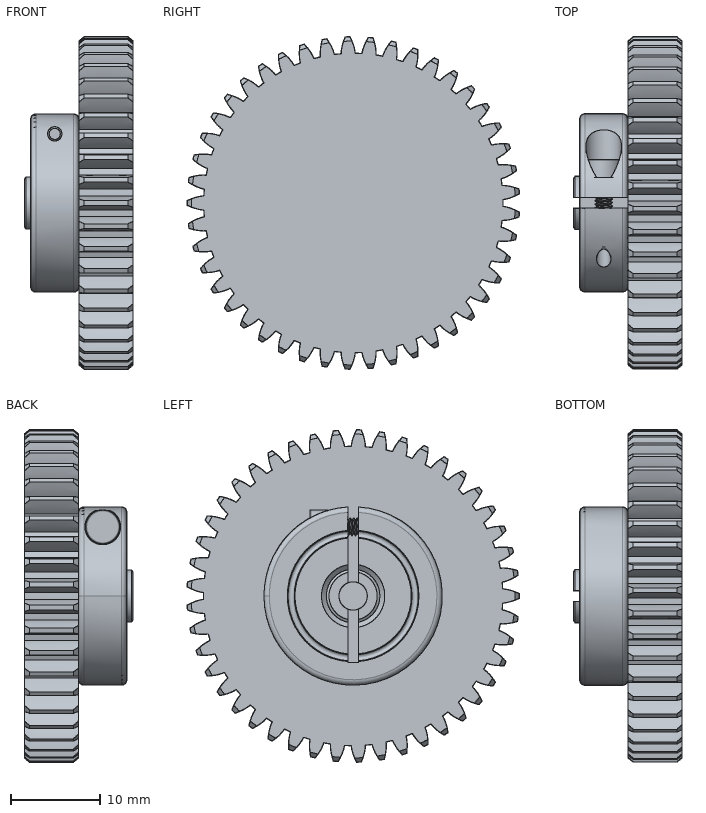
import math

import cadquery as cq


inch = 25.4
tooth_count = 45
module = inch / 32
pressure_angle = math.radians(20)
pitch_radius = module * tooth_count / 2
tip_radius = pitch_radius + module
base_radius = pitch_radius * math.cos(pressure_angle)
root_radius = 16.8
backlash = 0.07
tip_chamfer_height = 0.5
tip_chamfer_length = 0.6
rim_width = 6.1
tooth_step = 2 * math.pi / tooth_count
first_tooth_angle = math.pi
flank_points = 5

collar_radius = 10.0
collar_width = 5.4
collar_fillet = 0.6
nose_radius = 3.0
nose_height = 0.72
nose_chamfer_length = 0.3
nose_chamfer_height = 0.2
recess_radius = 3.55
bore_diameter = inch / 8
bore_depth_in_rim = rim_width / 2

groove_radius = 6.95
groove_width = 0.7
groove_bevel_width = 0.08
groove_bevel_depth = 0.05

slot_width = 1.2
slot_bottom = -7.45

screw_x = -collar_width / 2
screw_z = 7.75
head_radius = 1.9
head_height = 2.0
head_fillet = 0.1
seat_y = 2.85
screw_length = 8.0
thread_radius = 1.0
thread_pitch = 0.4
core_radius = 0.8
screw_tip_radius = 0.62
screw_tip_length = core_radius - screw_tip_radius
shank_length = seat_y - slot_width
thread_root_overlap = 0.05
thread_base_width = 0.9 * thread_pitch
counterbore_radius = 2.0
clearance_radius = 1.1


def involute(angle):
    return math.tan(angle) - angle


def half_tooth_angle(radius):
    """Half the angle that a tooth spans at this radius."""
    half_at_pitch = math.pi / (2 * tooth_count) - backlash / (2 * pitch_radius)
    return half_at_pitch + involute(pressure_angle) - involute(math.acos(base_radius / radius))


def polar(radius, angle):
    return (radius * math.cos(angle), radius * math.sin(angle))


def flank(center_angle, side):
    """Points up one flank of a tooth, from root to tip."""
    rise = (tip_radius - root_radius) / (flank_points - 1)
    radii = [root_radius + rise * i for i in range(flank_points)]
    return [polar(r, center_angle + side * half_tooth_angle(r)) for r in radii]


def make_rim():
    """Toothed rim whose outline follows every flank, tip and root in turn."""
    start = flank(first_tooth_angle, -1)[0]
    outline = cq.Workplane("YZ").moveTo(*start)
    for i in range(tooth_count):
        center = first_tooth_angle + i * tooth_step
        rising = flank(center, -1)
        falling = flank(center, 1)[::-1]
        next_root = flank(center + tooth_step, -1)[0]
        outline = outline.spline(rising[1:], includeCurrent=True)
        outline = outline.threePointArc(polar(tip_radius, center), falling[0])
        outline = outline.spline(falling[1:], includeCurrent=True)
        outline = outline.threePointArc(polar(root_radius, center + tooth_step / 2), next_root)
    rim = outline.close().extrude(rim_width)

    return rim.intersect(make_rim_envelope())


def make_rim_envelope():
    """Disc as wide as the rim, with both edges beveled to chamfer the tooth tips."""
    edge_radius = tip_radius - tip_chamfer_height
    return (
        cq.Workplane("XY")
        .lineTo(0, edge_radius)
        .lineTo(tip_chamfer_length, tip_radius)
        .lineTo(rim_width - tip_chamfer_length, tip_radius)
        .lineTo(rim_width, edge_radius)
        .lineTo(rim_width, 0)
        .close()
        .revolve(360, (0, 0, 0), (1, 0, 0))
    )


def make_collar():
    """Rounded collar with its face recess, ring groove and nose."""
    collar = cq.Workplane("YZ").circle(collar_radius).extrude(-collar_width)
    collar = collar.edges().fillet(collar_fillet)
    nose = (
        cq.Workplane("YZ")
        .circle(nose_radius)
        .extrude(-collar_width - nose_height)
        .faces("<X")
        .chamfer(nose_chamfer_height, nose_chamfer_length)
    )
    return collar.cut(make_recess()).cut(make_groove()).union(nose)


def make_recess():
    """Cone that narrows inward from the collar face to the nose."""
    depth = recess_radius - nose_radius
    return (
        cq.Workplane("XY")
        .moveTo(-collar_width, 0)
        .lineTo(-collar_width, recess_radius)
        .lineTo(-collar_width + depth, nose_radius)
        .lineTo(-collar_width + depth, 0)
        .close()
        .revolve(360, (0, 0, 0), (1, 0, 0))
    )


def make_groove():
    """Ring that is removed from the collar face."""
    inner = groove_radius - groove_width / 2
    outer = groove_radius + groove_width / 2
    bevel_end = -collar_width + groove_bevel_depth
    return (
        cq.Workplane("XY")
        .moveTo(-collar_width, inner - groove_bevel_width)
        .lineTo(bevel_end, inner)
        .threePointArc((bevel_end + groove_width / 2, groove_radius), (bevel_end, outer))
        .lineTo(-collar_width, outer + groove_bevel_width)
        .close()
        .revolve(360, (0, 0, 0), (1, 0, 0))
    )


def make_slot():
    """Slot from the nose end to the rim's face, open at the top of the collar."""
    length = collar_width + nose_height
    height = collar_radius - slot_bottom
    block = cq.Workplane("XY").box(length, slot_width, height, centered=(False, True, False))
    return block.translate((-length, 0, slot_bottom))


def make_bore():
    """Blind bore from the nose end into the rim."""
    nose_end = -collar_width - nose_height
    return (
        cq.Workplane("YZ", origin=(nose_end, 0, 0))
        .circle(bore_diameter / 2)
        .extrude(bore_depth_in_rim - nose_end)
    )


def screw_cylinder(radius, y_start, y_end):
    """Cylinder about the screw's axis."""
    start = cq.Workplane("XZ", origin=(screw_x, y_start, screw_z))
    return start.circle(radius).extrude(y_start - y_end)


def make_thread():
    """Helical ridge from the screw's tip to its plain shank."""
    length = screw_length - shank_length - screw_tip_length - thread_pitch / 2
    root = core_radius - thread_root_overlap
    helix = cq.Wire.makeHelix(thread_pitch, length, root)
    half_base = thread_base_width / 2
    ridge = (
        cq.Workplane("XZ")
        .polyline([(root, -half_base), (thread_radius, 0), (root, half_base)])
        .close()
        .sweep(cq.Workplane(helix), isFrenet=True)
    )
    first_turn_y = seat_y - screw_length + screw_tip_length + thread_pitch / 2
    return ridge.rotate((0, 0, 0), (1, 0, 0), -90).translate((screw_x, first_turn_y, screw_z))


def make_screw():
    """Cap screw: head, plain shank under it and threaded core."""
    head = screw_cylinder(head_radius, seat_y, seat_y + head_height)
    head = head.faces(">Y").edges().fillet(head_fillet)
    shank = screw_cylinder(thread_radius, seat_y - shank_length, seat_y)
    core = screw_cylinder(core_radius, seat_y - screw_length, seat_y)
    core = core.faces("<Y").chamfer(screw_tip_length)
    return core.union(make_thread()).union(shank).union(head)


def make_gear(screw):
    """Rim and collar in one piece, with the bore, slot and stepped screw hole.

    Cutting the screw itself leaves the matching thread in the tapped -Y half.
    """
    gear = make_rim().union(make_collar()).cut(make_bore())
    gear = gear.cut(screw_cylinder(core_radius, -collar_radius, 0))
    gear = gear.cut(screw_cylinder(clearance_radius, 0, seat_y))
    gear = gear.cut(screw_cylinder(counterbore_radius, seat_y, collar_radius))
    return gear.cut(make_slot()).cut(screw)


screw = make_screw()
gear = make_gear(screw)
result = cq.Compound.makeCompound([gear.solids().val(), screw.solids().val()])